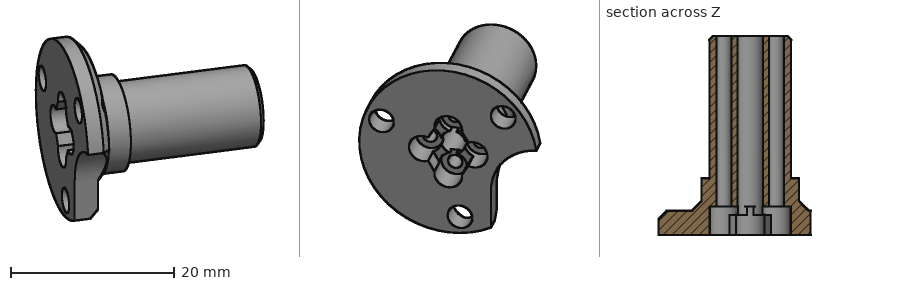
import cadquery as cq
import math

flange_radius = 11.25
flange_thickness = 3.0
flange_chamfer = 1.0
cone_base_radius = 7.2
collar_radius = 6.0
collar_start = 4.2
collar_end = 7.0
shaft_radius = 5.05
shaft_end = 24.4
shaft_chamfer = 0.5

cut_side_x = 5.4
cut_arc_radius = 6.25
cut_arc_center_z = -4.6

mount_hole_count = 3
mount_hole_diameter = 3.1
mount_circle_radius = 9.0
mount_first_angle = 39.5

center_hole_diameter = 3.1
hex_corner_count = 6
hex_across_flats = 6.0
hex_depth = 2.5

screw_count = 4
screw_circle_radius = 3.2
screw_hole_diameter = 1.8
counterbore_diameter = 3.5
counterbore_depth = 3.5


def front_plane():
    """Sketch plane on the flange face: local x = X, local y = Z, normal -Y."""
    return cq.Workplane("XZ")


def polar_points(radius, count, first_angle):
    """Equally spaced points on a circle."""
    angles = [math.radians(first_angle + i * 360 / count) for i in range(count)]
    return [(radius * math.cos(a), radius * math.sin(a)) for a in angles]


def round_pockets(points, diameter, depth):
    """Cylinders running from the flange face into the body."""
    return front_plane().pushPoints(points).circle(diameter / 2).extrude(-depth)


def turned_body():
    profile = [
        (0, 0),
        (flange_radius, 0),
        (flange_radius, flange_thickness - flange_chamfer),
        (flange_radius - flange_chamfer, flange_thickness),
        (cone_base_radius, flange_thickness),
        (collar_radius, collar_start),
        (collar_radius, collar_end),
        (shaft_radius, collar_end),
        (shaft_radius, shaft_end - shaft_chamfer),
        (shaft_radius - shaft_chamfer, shaft_end),
        (0, shaft_end),
    ]
    return cq.Workplane("XY").polyline(profile).close().revolve(360, (0, 0), (0, 1))


def edge_cut():
    arc_center_x = cut_side_x + cut_arc_radius
    arc_top_z = cut_arc_center_z + cut_arc_radius
    arc_mid_offset = cut_arc_radius * math.cos(math.radians(45))
    outer_x = 2 * flange_radius
    return (
        front_plane()
        .moveTo(cut_side_x, -flange_radius)
        .lineTo(cut_side_x, cut_arc_center_z)
        .threePointArc(
            (arc_center_x - arc_mid_offset, cut_arc_center_z + arc_mid_offset),
            (arc_center_x, arc_top_z),
        )
        .lineTo(outer_x, arc_top_z)
        .lineTo(outer_x, -flange_radius)
        .close()
        .extrude(-collar_start)
    )


def hex_pocket():
    """Hexagon with two flats parallel to X."""
    corner_radius = hex_across_flats / math.sqrt(3)
    corners = polar_points(corner_radius, hex_corner_count, 0)
    return front_plane().polyline(corners).close().extrude(-hex_depth)


mount_points = polar_points(mount_circle_radius, mount_hole_count, mount_first_angle)
screw_points = polar_points(screw_circle_radius, screw_count, 0)

result = (
    turned_body()
    .cut(edge_cut())
    .cut(round_pockets(mount_points, mount_hole_diameter, flange_thickness))
    .cut(round_pockets([(0, 0)], center_hole_diameter, shaft_end))
    .cut(hex_pocket())
    .cut(round_pockets(screw_points, screw_hole_diameter, shaft_end))
    .cut(round_pockets(screw_points, counterbore_diameter, counterbore_depth))
)